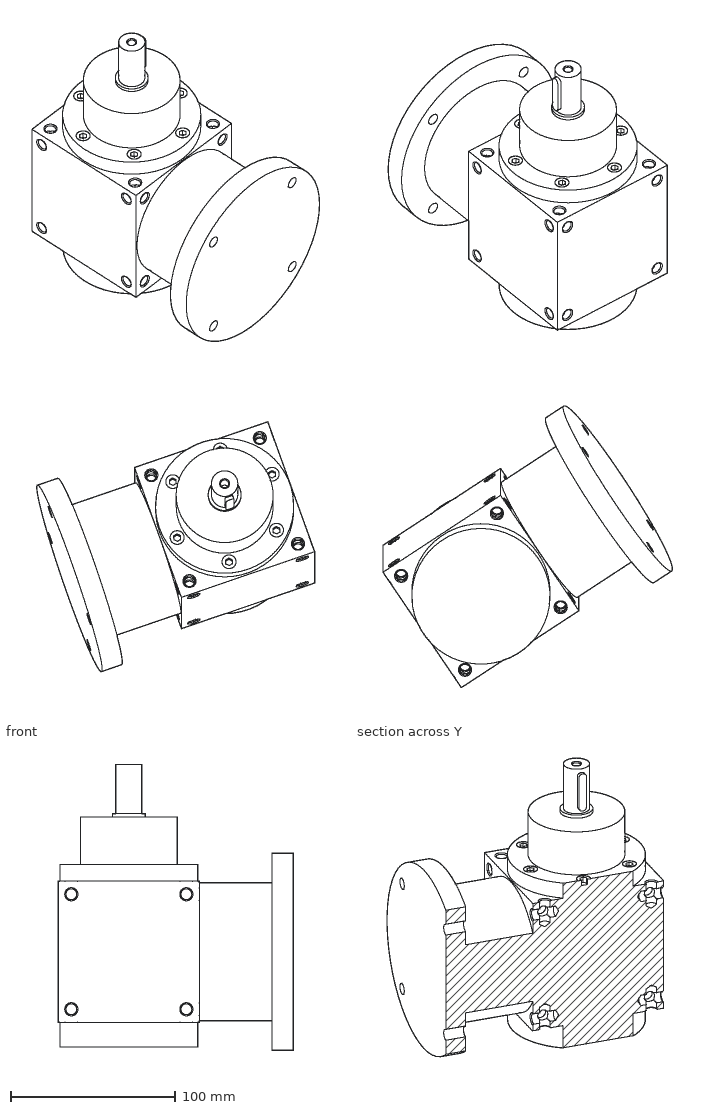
import cadquery as cq
import math


cube_side = 86.0
cube_half = cube_side / 2

cover_dia = 84.0
upper_cover_top = 53.0
lower_cover_bottom = -58.0
hat_dia = 59.0
hat_top = 82.0

neck_dia = cover_dia
flange_dia = 120
flange_thickness = 13.0
flange_face_x = 100.0
flange_hole_dia = 7
flange_hole_circle = 100.0
flange_hole_count = 4
flange_hole_start = 45

corner_pitch = 70.0
corner_hole_dia = 6.6
corner_mouth_dia = 8.0
corner_hole_depth = 15.0
drill_tip_angle = 118

screw_circle = 70.0
screw_count = 6
screw_start = 15
screw_head_dia = 8.5
screw_head_recess = 0.2
socket_sides = 6
socket_across_corners = 4.7
socket_depth = 3.5

shaft_dia = 16.0
collar_dia = 20.0
collar_height = 2.1
shaft_end_length = 30.0
shaft_top = hat_top + collar_height + shaft_end_length
center_hole_dia = 4.9
center_mouth_dia = 6.1
center_hole_depth = 15.0

key_width = 5.0
key_height = 5.0
key_length = 25.0
key_outer_y = 10.1
key_end_gap = 2.5
key_inner_y = key_outer_y - key_height
key_middle_z = shaft_top - key_end_gap - key_length / 2


def cylinder_z(diameter, bottom, top):
    """Upright cylinder on the Z axis."""
    return cq.Workplane("XY").workplane(offset=bottom).circle(diameter / 2).extrude(top - bottom)


def cylinder_x(diameter, start, end):
    """Lying cylinder on the X axis."""
    return cq.Workplane("YZ").workplane(offset=start).circle(diameter / 2).extrude(end - start)


def drilled_hole(diameter, mouth_dia, depth):
    """Cutter for a blind hole down from the origin: 45 degree mouth, straight wall, drill tip."""
    radius = diameter / 2
    mouth_radius = mouth_dia / 2
    tip_length = radius / math.tan(math.radians(drill_tip_angle / 2))
    return (
        cq.Workplane("XZ")
        .polyline([
            (0, 0),
            (mouth_radius, 0),
            (radius, radius - mouth_radius),
            (radius, -depth),
            (0, -depth - tip_length),
        ])
        .close()
        .revolve(360, (0, 0), (0, 1))
    )


def corner_holes():
    """Cutters for the corner holes of all six cube faces."""
    hole = drilled_hole(corner_hole_dia, corner_mouth_dia, corner_hole_depth)
    half_pitch = corner_pitch / 2
    top_cutters = [
        hole.translate((x, y, cube_half)).val()
        for x in (-half_pitch, half_pitch)
        for y in (-half_pitch, half_pitch)
    ]
    origin = cq.Vector(0, 0, 0)
    cutters = []
    for cutter in top_cutters:
        for angle in (0, 90, 180, 270):
            cutters.append(cutter.rotate(origin, cq.Vector(1, 0, 0), angle))
        for angle in (90, 270):
            cutters.append(cutter.rotate(origin, cq.Vector(0, 1, 0), angle))
    return cutters


def screw_heads():
    """Cutters for the shallow head recesses and hexagon sockets in the upper cover."""
    head_face = upper_cover_top - screw_head_recess
    cutters = []
    for index in range(screw_count):
        angle = screw_start + index * 360 / screw_count
        recess = (
            cq.Workplane("XY")
            .workplane(offset=head_face)
            .circle(screw_head_dia / 2)
            .extrude(screw_head_recess)
        )
        socket = (
            cq.Workplane("XY")
            .workplane(offset=head_face)
            .polygon(socket_sides, socket_across_corners)
            .extrude(-socket_depth)
        )
        cutter = recess.union(socket).translate((screw_circle / 2, 0, 0))
        cutters.append(cutter.rotate((0, 0, 0), (0, 0, 1), angle).val())
    return cutters


def make_housing():
    housing = cq.Workplane("XY").box(cube_side, cube_side, cube_side)
    housing = housing.union(cylinder_z(cover_dia, lower_cover_bottom, upper_cover_top))
    housing = housing.union(cylinder_z(hat_dia, upper_cover_top, hat_top))
    housing = housing.union(cylinder_x(neck_dia, 0, flange_face_x))
    housing = housing.union(cylinder_x(flange_dia, flange_face_x - flange_thickness, flange_face_x))
    flange_holes = (
        cq.Workplane("YZ")
        .workplane(offset=flange_face_x - flange_thickness)
        .polarArray(flange_hole_circle / 2, flange_hole_start, 360, flange_hole_count)
        .circle(flange_hole_dia / 2)
        .extrude(flange_thickness)
    )
    housing = housing.cut(flange_holes)
    for cutter in corner_holes() + screw_heads():
        housing = housing.cut(cq.Workplane(cutter))
    return housing


def make_key():
    return (
        cq.Workplane("XZ", origin=(0, key_outer_y, key_middle_z))
        .slot2D(key_length, key_width, 90)
        .extrude(key_outer_y - key_inner_y)
    )


def make_shaft(key):
    shaft = cylinder_z(collar_dia, hat_top, hat_top + collar_height)
    shaft = shaft.union(cylinder_z(shaft_dia, hat_top, shaft_top))
    center_hole = drilled_hole(center_hole_dia, center_mouth_dia, center_hole_depth)
    shaft = shaft.cut(center_hole.translate((0, 0, shaft_top)))
    return shaft.cut(key)


housing = make_housing()
key = make_key()
shaft = make_shaft(key)

result = cq.Compound.makeCompound([housing.val(), shaft.val(), key.val()])